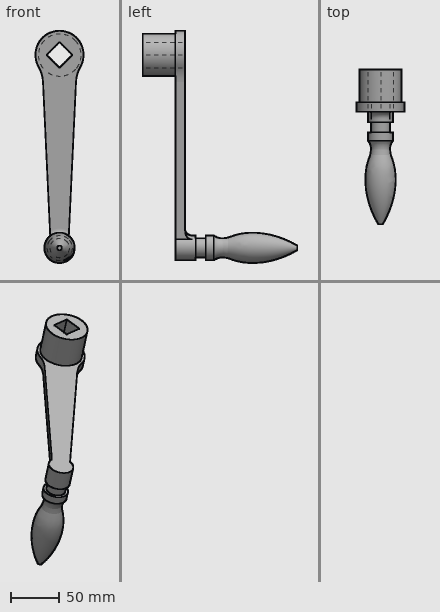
import cadquery as cq
import math

arm_thickness = 10.0
crank_radius = 200.0
hub_end_radius = 25.0
half_width_at_hub = 18.5
half_width_at_handle = 9.2
shoulder_radius = 35.2

hub_radius = 22.0
hub_length = 34.0
square_diagonal = 26.5

boss_radius = 13.0
boss_end_depth = 21.0
boss_fillet = 7.0

spindle_radius = 10.0
collar_radius = 13.0
collar_start_depth = 31.3
collar_end_depth = 39.8
waist_radius = 10.0
waist_depth = 49.0
waist_arc_mid_depth = 43.1
waist_arc_mid_radius = 11.0
grip_start_depth = 54.7
grip_start_radius = 10.8
grip_max_depth = 79.5
grip_max_radius = 16.0
grip_taper_depth = 104.8
grip_taper_radius = 12.0
tip_depth = 126.5
tip_radius = 2.5


def cylinder(radius, center_z, start_depth, end_depth):
    """Cylinder parallel to Y between two depths."""
    plane = cq.Workplane("XZ", origin=(0, -start_depth, center_z))
    return plane.circle(radius).extrude(end_depth - start_depth)


def revolve_about_handle(profile):
    """Revolve a (radius, depth) profile about the handle axis."""
    solid = profile.close().revolve(360, (0, 0, 0), (0, 1, 0))
    return solid.translate((0, 0, -crank_radius))


def handle_profile():
    return cq.Workplane(cq.Plane((0, 0, 0), (1, 0, 0), (0, 0, -1)))


def arm_outline_prism(depth):
    """Tapered arm with concave shoulders that blend tangentially into the round hub end."""
    taper = math.atan((half_width_at_hub - half_width_at_handle) / crank_radius)
    normal_x = math.cos(taper)
    normal_z = -math.sin(taper)

    edge_distance = half_width_at_hub * normal_x + shoulder_radius
    center_distance = hub_end_radius + shoulder_radius
    center_angle = -taper - math.acos(edge_distance / center_distance)
    center_x = center_distance * math.cos(center_angle)
    center_z = center_distance * math.sin(center_angle)

    hub_x = hub_end_radius * math.cos(center_angle)
    hub_z = hub_end_radius * math.sin(center_angle)
    edge_x = center_x - shoulder_radius * normal_x
    edge_z = center_z - shoulder_radius * normal_z
    mid_angle = (center_angle - taper) / 2
    mid_x = center_x - shoulder_radius * math.cos(mid_angle)
    mid_z = center_z - shoulder_radius * math.sin(mid_angle)

    return (
        cq.Workplane("XZ")
        .moveTo(-half_width_at_handle, -crank_radius)
        .lineTo(half_width_at_handle, -crank_radius)
        .lineTo(edge_x, edge_z)
        .threePointArc((mid_x, mid_z), (hub_x, hub_z))
        .threePointArc((0, hub_end_radius), (-hub_x, hub_z))
        .threePointArc((-mid_x, mid_z), (-edge_x, edge_z))
        .close()
        .extrude(depth)
    )


def make_boss_fillet():
    """Concave fillet between arm face and boss, no wider than the arm."""
    arc_offset = boss_fillet * (1 - math.sqrt(0.5))
    ring = revolve_about_handle(
        handle_profile()
        .moveTo(0, arm_thickness)
        .lineTo(boss_radius + boss_fillet, arm_thickness)
        .threePointArc(
            (boss_radius + arc_offset, arm_thickness + arc_offset),
            (boss_radius, arm_thickness + boss_fillet),
        )
        .lineTo(0, arm_thickness + boss_fillet)
    )
    return ring.intersect(arm_outline_prism(boss_end_depth))


def make_handle():
    """Spindle, collar, waist and bulging grip turned about the handle axis."""
    return revolve_about_handle(
        handle_profile()
        .moveTo(0, arm_thickness)
        .lineTo(spindle_radius, arm_thickness)
        .lineTo(spindle_radius, collar_start_depth)
        .lineTo(collar_radius, collar_start_depth)
        .lineTo(collar_radius, collar_end_depth)
        .threePointArc((waist_arc_mid_radius, waist_arc_mid_depth), (waist_radius, waist_depth))
        .lineTo(grip_start_radius, grip_start_depth)
        .spline(
            [
                (grip_max_radius, grip_max_depth),
                (grip_taper_radius, grip_taper_depth),
                (tip_radius, tip_depth),
            ],
            includeCurrent=True,
        )
        .lineTo(0, tip_depth)
    )


def make_square_hole():
    """Square hole, standing on a corner, through the arm and hub."""
    side = square_diagonal / math.sqrt(2)
    hole = cq.Workplane("XZ", origin=(0, hub_length, 0)).rect(side, side)
    return hole.extrude(hub_length + arm_thickness).rotate((0, 0, 0), (0, 1, 0), 45)


arm = arm_outline_prism(arm_thickness)
hub = cylinder(hub_radius, 0, -hub_length, 0)
boss = cylinder(boss_radius, -crank_radius, 0, boss_end_depth)

crank = arm.union(hub).union(boss).union(make_boss_fillet()).union(make_handle())
result = crank.cut(make_square_hole())